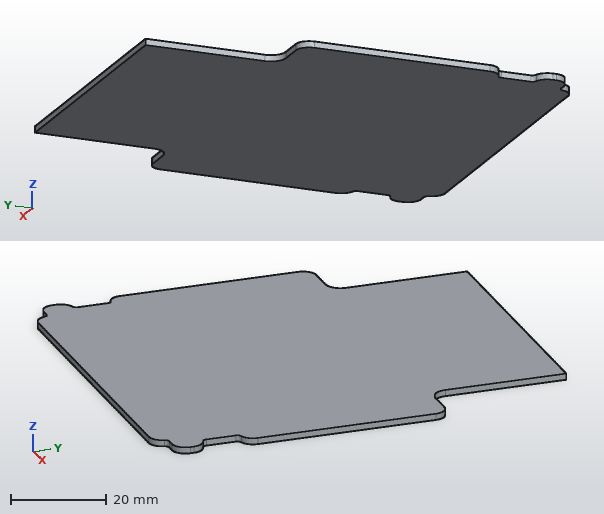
import cadquery as cq
import math

width = 85.0
length = 94.73
thickness = 1.43

ear_front = 3.2
ear_flat_end = 7.0
notch_rear = 18.3
shoulder = 64.2

notch_depth = 2.9
front_inset = 8.5
neck_width = 61.2

corner_radius = 3.0
blend_radius = 1.0
neck_radius = 3.4

half_width = width / 2
half_neck = neck_width / 2
notch_x = half_width - notch_depth
front_x = half_width - front_inset
round_x = half_width - corner_radius
ear_flat_start = ear_front + corner_radius
side_start = notch_rear + corner_radius


def s_curve_run(step):
    """Length over which an outside corner arc and an inside blend arc make a sideways step."""
    reach = corner_radius + blend_radius
    return math.sqrt(reach**2 - (reach - step)**2)


def tangent_joint(corner_center, blend_center):
    """Point where a corner arc and the blend arc beside it touch."""
    share = corner_radius / (corner_radius + blend_radius)
    x = corner_center[0] + share * (blend_center[0] - corner_center[0])
    y = corner_center[1] + share * (blend_center[1] - corner_center[1])
    return x, y


def outside_arc(outline, end, radius=corner_radius):
    """Convex arc of an anticlockwise outline."""
    return outline.radiusArc(end, -radius)


def inside_arc(outline, end, radius=blend_radius):
    """Concave arc of an anticlockwise outline."""
    return outline.radiusArc(end, radius)


def add_front_corner(outline):
    """Straight front edge and the S-curve from it up to the ear."""
    end_x = front_x + s_curve_run(ear_front)
    joint = tangent_joint((front_x, corner_radius), (end_x, ear_front - blend_radius))
    outline = outline.lineTo(front_x, 0)
    outline = outside_arc(outline, joint)
    return inside_arc(outline, (end_x, ear_front))


def add_ear(outline):
    """Rounded ear reaching the full width, ending on the notch wall."""
    wall_start = ear_flat_end + s_curve_run(notch_depth)
    joint = tangent_joint((round_x, ear_flat_end), (notch_x + blend_radius, wall_start))
    outline = outline.lineTo(round_x, ear_front)
    outline = outside_arc(outline, (half_width, ear_flat_start))
    outline = outline.lineTo(half_width, ear_flat_end)
    outline = outside_arc(outline, joint)
    return inside_arc(outline, (notch_x, wall_start))


def add_notch(outline):
    """Notch wall and the S-curve from it back out to the full width."""
    wall_end = side_start - s_curve_run(notch_depth)
    joint = tangent_joint((round_x, side_start), (notch_x + blend_radius, wall_end))
    outline = outline.lineTo(notch_x, wall_end)
    outline = inside_arc(outline, joint)
    return outside_arc(outline, (half_width, side_start))


def add_shoulder_and_neck(outline):
    """Side of the wide body, rounded shoulder and the neck up to the rear edge."""
    outline = outline.lineTo(half_width, shoulder - corner_radius)
    outline = outside_arc(outline, (round_x, shoulder))
    outline = outline.lineTo(half_neck + neck_radius, shoulder)
    outline = inside_arc(outline, (half_neck, shoulder + neck_radius), neck_radius)
    return outline.lineTo(half_neck, length).lineTo(0, length)


def half_plate():
    """Half of the plate, from the centre line X = 0 out to +X."""
    outline = cq.Workplane("XY")
    outline = add_front_corner(outline)
    outline = add_ear(outline)
    outline = add_notch(outline)
    outline = add_shoulder_and_neck(outline)
    return outline.close().extrude(thickness)


right_half = half_plate()
left_half = right_half.mirror("YZ")
result = right_half.union(left_half).clean()